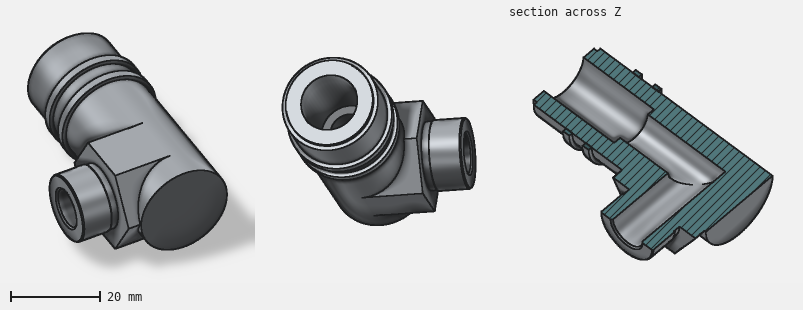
import cadquery as cq
import math

length = 54.0
barrel_dia = 22.0
lip_dia = 20.0
lip_length = 1.0

ring_dia = 24.0
ring_width = 2.0
first_ring_x = 10.95
ring_pitch = 6.0
ring_count = 2

branch_x = 40.9
hex_flats = barrel_dia
hex_reach = 13.95
stud_reach = 23.0
stud_dia = 16.05
stud_chamfer_length = 0.3
stud_chamfer_depth = 0.2
neck_dia = 15.55
neck_length = 1.75

socket_dia = 12.95
socket_depth = 21.6
bore_dia = 9.0
bore_chamfer = 0.45


def cylinder_x(diameter, start, end):
    """Cylinder along X on the barrel axis."""
    return cq.Workplane("YZ", origin=(start, 0, 0)).circle(diameter / 2).extrude(end - start)


def cylinder_branch(diameter, start, end):
    """Cylinder on the branch axis, between two distances measured toward -Y."""
    return cq.Workplane("XZ", origin=(branch_x, -start, 0)).circle(diameter / 2).extrude(end - start)


def make_barrel():
    lip = cylinder_x(lip_dia, 0, lip_length)
    return cylinder_x(barrel_dia, lip_length, length).union(lip)


def make_hexagon():
    corner_dia = hex_flats / math.cos(math.pi / 6)
    return cq.Workplane("XZ", origin=(branch_x, 0, 0)).polygon(6, corner_dia).extrude(hex_reach)


def make_stud():
    """Neck and chamfered thread blank, turned about the branch axis."""
    neck_end = hex_reach + neck_length
    chamfer_start = stud_reach - stud_chamfer_length
    tip_radius = stud_dia / 2 - stud_chamfer_depth
    return (
        cq.Workplane("XY", origin=(branch_x, 0, 0))
        .moveTo(0, -hex_reach)
        .lineTo(neck_dia / 2, -hex_reach)
        .lineTo(neck_dia / 2, -neck_end)
        .lineTo(stud_dia / 2, -neck_end)
        .lineTo(stud_dia / 2, -chamfer_start)
        .lineTo(tip_radius, -stud_reach)
        .lineTo(0, -stud_reach)
        .close()
        .revolve(360, (0, 0, 0), (0, 1, 0))
    )


def make_passage():
    """Socket, two equal bores meeting in a mitred corner, and the mouth chamfer."""
    bore_radius = bore_dia / 2
    socket = cylinder_x(socket_dia, 0, socket_depth)
    inlet = cylinder_x(bore_dia, 0, branch_x)
    outlet = cylinder_branch(bore_dia, 0, stud_reach)
    corner = cylinder_x(bore_dia, branch_x - bore_radius, branch_x + bore_radius).intersect(
        cylinder_branch(bore_dia, -bore_radius, bore_radius)
    )
    mouth = (
        cq.Workplane("XZ", origin=(branch_x, -stud_reach, 0))
        .circle(bore_radius + bore_chamfer)
        .workplane(offset=-bore_chamfer)
        .circle(bore_radius)
        .loft()
    )
    return inlet.union(outlet).union(corner).union(socket).union(mouth)


def make_housing():
    outside = make_barrel().union(make_hexagon()).union(make_stud())
    return outside.cut(make_passage()).solids()


def make_ring(start):
    """Band that fits closely around the barrel."""
    return (
        cq.Workplane("YZ", origin=(start, 0, 0))
        .circle(ring_dia / 2)
        .circle(barrel_dia / 2)
        .extrude(ring_width)
    )


housing = make_housing()
rings = [make_ring(first_ring_x + i * ring_pitch) for i in range(ring_count)]

result = cq.Compound.makeCompound([housing.val(), *[ring.val() for ring in rings]])